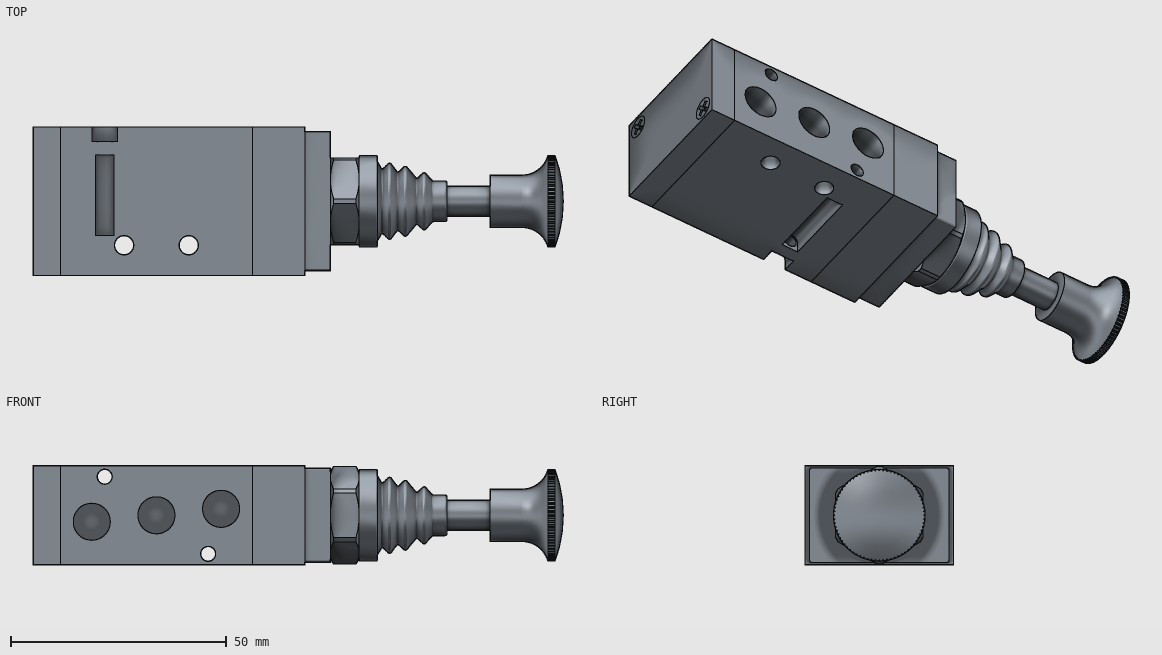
import cadquery as cq
import math


width = 34.5
height = 23.0
cap_length = 6.35
body_length = 44.5
adapter_length = 12.2
nose_length = 5.9
nose_width = 32.3
nose_height = 21.9
nose_edge_radius = 0.5

body_start = cap_length
body_middle = body_start + body_length / 2
adapter_start = body_start + body_length
nose_start = adapter_start + adapter_length
nose_end = nose_start + nose_length

screw_y = 13.5
screw_z = 8.0
screw_head_diameter = 5.5
screw_head_height = 3.0
cross_span = 3.6
cross_arm_width = 0.9
cross_depth = 1.2

port_diameter = 8.6
port_depth = 12.0
port_spacing = 15.0
port_rise = 1.5
fixing_diameter = 4.4
fixing_spacing = 15.0
fixing_y = -10.2
side_hole_diameter = 3.4
side_hole_offset = 12.0
side_hole_z = 8.95
long_slot_width = 4.3
long_slot_y_min = -7.9
long_slot_y_max = 10.75
end_slot_width = 6.0
end_slot_depth = 3.4

nut_length = 6.7
nut_across_flats = 20.2
nut_corner_radius = 11.35
nut_face_radius = 10.1
nut_chamfer_length = 0.75

nut_end = nose_end + nut_length

collar_radius = 10.65
collar_length = 4.2
collar_lip_radius = 9.3
collar_fillet = 0.3
folds = [
    (5.3, 7.35, 7.1, 9.1),
    (8.95, 6.65, 10.75, 8.35),
    (13.35, 5.25, 15.1, 6.85),
]
crest_fillet = 0.5
valley_fillet = 0.3
sleeve_start = 17.0
sleeve_radius = 4.75
sleeve_fillet = 0.6
boot_length = 20.4
ring_tolerance = 0.02

shaft_radius = 3.5
knob_start = 106.0
knob_end = 123.01
grip_radius = 6.1
grip_length = 7.5
rim_radius = 10.6
rim_start = 119.4
rim_length = 1.7
knurl_count = 72
knurl_depth = 0.25


def box_along_x(x_start, length, box_width, box_height):
    return cq.Workplane("YZ", origin=(x_start, 0, 0)).rect(box_width, box_height).extrude(length)


def turned(profile):
    """Full turn about the X axis of a closed profile drawn as (x, radius)."""
    return profile.close().revolve(360, (0, 0, 0), (1, 0, 0))


def cylinder_along_x(x_start, length, radius):
    return cq.Workplane("YZ", origin=(x_start, 0, 0)).circle(radius).extrude(length)


def make_screw(y, z):
    plane = cq.Workplane("YZ", origin=(0, y, z))
    head = plane.circle(screw_head_diameter / 2).extrude(screw_head_height)
    for angle in (45, -45):
        arm = plane.transformed(rotate=(0, 0, angle)).rect(cross_span, cross_arm_width).extrude(cross_depth)
        head = head.cut(arm)
    return head


screw_places = [(screw_y, screw_z), (-screw_y, -screw_z)]
screws = [make_screw(y, z) for y, z in screw_places]

cap = box_along_x(0, cap_length, width, height)
cap = cap.cut(
    cq.Workplane("YZ").pushPoints(screw_places).circle(screw_head_diameter / 2).extrude(screw_head_height)
)


def ports():
    places = [(body_middle + i * port_spacing, i * port_rise) for i in (-1, 0, 1)]
    front = cq.Workplane("XZ", origin=(0, -width / 2, 0))
    return front.pushPoints(places).circle(port_diameter / 2).extrude(-port_depth)


def fixing_holes():
    places = [(body_middle + side * fixing_spacing / 2, fixing_y) for side in (-1, 1)]
    return cq.Workplane("XY").pushPoints(places).circle(fixing_diameter / 2).extrude(height / 2, both=True)


def round_bottom_slot(slot_width, y_min, y_max):
    """Slot centred on the upper side hole, open at the top face and round at the bottom."""
    radius = slot_width / 2
    return (
        cq.Workplane("XZ", origin=(body_middle - side_hole_offset, y_min, side_hole_z))
        .moveTo(-radius, height)
        .lineTo(-radius, 0)
        .threePointArc((0, -radius), (radius, 0))
        .lineTo(radius, height)
        .close()
        .extrude(y_min - y_max)
    )


def upper_side_hole():
    """Cross hole through the width, with a long slot and an end slot around it."""
    hole = (
        cq.Workplane("XZ", origin=(body_middle - side_hole_offset, 0, side_hole_z))
        .circle(side_hole_diameter / 2)
        .extrude(width / 2, both=True)
    )
    long_slot = round_bottom_slot(long_slot_width, long_slot_y_min, long_slot_y_max)
    end_slot = round_bottom_slot(end_slot_width, width / 2 - end_slot_depth, width / 2)
    return hole.union(long_slot).union(end_slot)


upper_cut = upper_side_hole()
lower_cut = upper_cut.rotate((body_middle, 0, 0), (body_middle, 1, 0), 180)
body = box_along_x(body_start, body_length, width, height)
for cut in (ports(), fixing_holes(), upper_cut, lower_cut):
    body = body.cut(cut)

nose = box_along_x(nose_start, nose_length, nose_width, nose_height).edges("|X").fillet(nose_edge_radius)
adapter = box_along_x(adapter_start, adapter_length, width, height).union(nose)


def make_nut():
    hexagon = (
        cq.Workplane("YZ", origin=(nose_end, 0, 0))
        .transformed(rotate=(0, 0, 90))
        .polygon(6, nut_across_flats / math.cos(math.pi / 6))
        .extrude(nut_length)
    )
    envelope = turned(
        cq.Workplane("XY")
        .moveTo(nose_end, 0)
        .lineTo(nose_end, nut_face_radius)
        .lineTo(nose_end + nut_chamfer_length, nut_corner_radius)
        .lineTo(nut_end - nut_chamfer_length, nut_corner_radius)
        .lineTo(nut_end, nut_face_radius)
        .lineTo(nut_end, 0)
    )
    return hexagon.intersect(envelope).cut(cylinder_along_x(nose_end, nut_length, shaft_radius))


nut = make_nut()


def ring_selector(x, radius):
    """Selects the circular edge of the given radius about the X axis at x."""
    reach = radius + ring_tolerance
    return cq.selectors.BoxSelector(
        (x - ring_tolerance, -reach, -reach), (x + ring_tolerance, reach, reach), boundingbox=True
    )


def make_boot():
    profile = (
        cq.Workplane("XY", origin=(nut_end, 0, 0))
        .moveTo(0, shaft_radius)
        .lineTo(0, collar_radius)
        .lineTo(collar_length, collar_radius)
        .lineTo(collar_length, collar_lip_radius)
    )
    for valley_x, valley_radius, crest_x, crest_radius in folds:
        profile = profile.lineTo(valley_x, valley_radius).lineTo(crest_x, crest_radius)
    shape = turned(
        profile.lineTo(sleeve_start, sleeve_radius)
        .lineTo(boot_length, sleeve_radius)
        .lineTo(boot_length, shaft_radius)
    )
    crests = [(crest_x, crest_radius) for _, _, crest_x, crest_radius in folds]
    valleys = [(valley_x, valley_radius) for valley_x, valley_radius, _, _ in folds]
    roundings = [
        ([(0, collar_radius), (collar_length, collar_radius)], collar_fillet),
        (crests, crest_fillet),
        (valleys + [(sleeve_start, sleeve_radius)], valley_fillet),
        ([(boot_length, sleeve_radius)], sleeve_fillet),
    ]
    for corners, fillet_radius in roundings:
        for x, radius in corners:
            shape = shape.edges(ring_selector(nut_end + x, radius)).fillet(fillet_radius)
    return shape


boot = make_boot()

shaft = cylinder_along_x(nose_end, knob_start - nose_end, shaft_radius)


def make_knob():
    flare_start = knob_start + grip_length
    flare_run = rim_start - flare_start
    flare_rise = rim_radius - grip_radius
    flare_radius = (flare_run**2 + flare_rise**2) / (2 * flare_rise)
    half_angle = math.asin(flare_run / flare_radius) / 2
    flare_middle = (
        flare_start + flare_radius * math.sin(half_angle),
        grip_radius + flare_radius * (1 - math.cos(half_angle)),
    )
    rim_end = rim_start + rim_length
    dome_height = knob_end - rim_end
    dome_radius = (rim_radius**2 + dome_height**2) / (2 * dome_height)
    dome_half_angle = math.asin(rim_radius / dome_radius) / 2
    dome_middle = (
        knob_end - dome_radius * (1 - math.cos(dome_half_angle)),
        dome_radius * math.sin(dome_half_angle),
    )
    knob = turned(
        cq.Workplane("XY")
        .moveTo(knob_start, 0)
        .lineTo(knob_start, grip_radius)
        .lineTo(flare_start, grip_radius)
        .threePointArc(flare_middle, (rim_start, rim_radius))
        .lineTo(rim_end, rim_radius)
        .threePointArc(dome_middle, (knob_end, 0))
    )
    groove_size = 2 * knurl_depth
    grooves = (
        cq.Workplane("YZ", origin=(rim_start, 0, 0))
        .polarArray(rim_radius, 0, 360, knurl_count)
        .polygon(4, groove_size)
        .extrude(rim_length)
    )
    return knob.cut(grooves)


knob = make_knob()

result = cq.Compound.makeCompound(
    [
        cap.val(),
        *[screw.val() for screw in screws],
        body.val(),
        adapter.val(),
        nut.val(),
        boot.val(),
        shaft.val(),
        knob.val(),
    ]
)